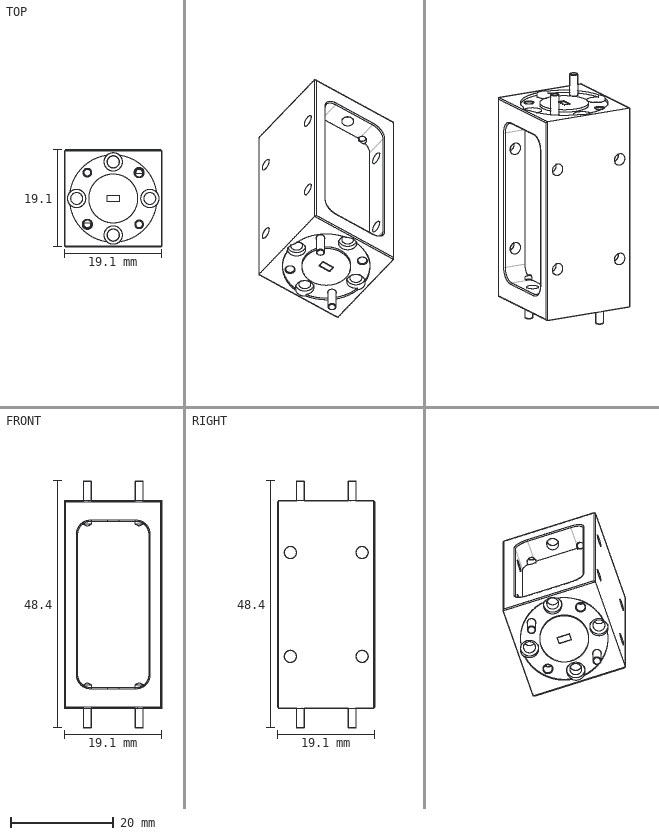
import cadquery as cq
import math

block_width = 19.05
block_height = 40.65
face_chamfer = 0.25
half_height = block_height / 2
half_width = block_width / 2

pocket_width = 13.95
pocket_height = 32.5
pocket_corner_radius = 2.5
web_thickness = 9.7
pocket_depth = (block_width - web_thickness) / 2

recess_radius = 8.55
recess_depth = 0.5
boss_radius = 4.8
window_width = 2.5
window_height = 1.25
window_depth = 0.2

bolt_circle_radius = 7.15
screw_diameter = 2.3
counterbore_radius = 1.8
counterbore_depth = 1.5
blind_screw_depth = 5.8
wall_screw_depth = 4.85

pin_diameter = 1.6
pin_protrusion = 3.85
pin_embedment = 3.85
pin_chamfer = 0.15
pin_mouth_chamfer = 0.05
alignment_diameter = 1.7
alignment_mouth_chamfer = 0.15
dowel_hole_depth = 4.6
drill_tip_half_angle = math.radians(59)
dowel_offset = bolt_circle_radius * math.sqrt(0.5)

cross_diameter = 2.3
cross_y = 7.0
cross_z = 10.15

top_pin_places = [(-dowel_offset, dowel_offset), (dowel_offset, -dowel_offset)]
top_alignment_places = [(dowel_offset, dowel_offset), (-dowel_offset, -dowel_offset)]
blind_screw_places = [(-bolt_circle_radius, 0), (bolt_circle_radius, 0)]
wall_screw_places = [(0, -bolt_circle_radius), (0, bolt_circle_radius)]


def turned_to_bottom(shape):
    """Copy of a top-end shape, turned half a turn about X."""
    return shape.rotate((0, 0, 0), (1, 0, 0), 180)


def cylinder_down(radius, top_z, depth):
    return cq.Workplane("XY").workplane(offset=top_z).circle(radius).extrude(-depth)


def drilled_hole(diameter, depth):
    """Hole from the top end face with a conical drill tip below its full depth."""
    radius = diameter / 2
    bottom = half_height - depth
    tip = bottom - radius / math.tan(drill_tip_half_angle)
    profile = (
        cq.Workplane("XZ")
        .moveTo(0, half_height)
        .lineTo(radius, half_height)
        .lineTo(radius, bottom)
        .lineTo(0, tip)
        .close()
    )
    return profile.revolve(360, (0, 0, 0), (0, 1, 0))


def dowel_hole(diameter, mouth_chamfer):
    """Drilled hole, chamfered where it opens at the recess floor."""
    mouth_z = half_height - recess_depth
    radius = diameter / 2
    mouth = (
        cq.Workplane("XZ")
        .moveTo(0, mouth_z)
        .lineTo(radius + mouth_chamfer, mouth_z)
        .lineTo(radius, mouth_z - mouth_chamfer)
        .lineTo(0, mouth_z - mouth_chamfer)
        .close()
        .revolve(360, (0, 0, 0), (0, 1, 0))
    )
    return drilled_hole(diameter, dowel_hole_depth).union(mouth)


def flange_cuts():
    """All material removed from the top flange face."""
    boss = cylinder_down(boss_radius, half_height, recess_depth)
    cuts = cylinder_down(recess_radius, half_height, recess_depth).cut(boss)
    window = (
        cq.Workplane("XY")
        .workplane(offset=half_height)
        .rect(window_width, window_height)
        .extrude(-window_depth)
    )
    cuts = cuts.union(window)

    counterbore = cylinder_down(counterbore_radius, half_height, counterbore_depth)
    blind_screw = drilled_hole(screw_diameter, blind_screw_depth).union(counterbore)
    wall_screw = cylinder_down(screw_diameter / 2, half_height, wall_screw_depth).union(counterbore)
    for hole, places in [
        (blind_screw, blind_screw_places),
        (wall_screw, wall_screw_places),
        (dowel_hole(pin_diameter, pin_mouth_chamfer), top_pin_places),
        (dowel_hole(alignment_diameter, alignment_mouth_chamfer), top_alignment_places),
    ]:
        for x, y in places:
            cuts = cuts.union(hole.translate((x, y, 0)))
    return cuts


def front_pocket():
    """Round-cornered pocket in the -Y face."""
    return (
        cq.Workplane("XZ")
        .workplane(offset=half_width)
        .rect(pocket_width, pocket_height)
        .extrude(-pocket_depth)
        .edges("|Y")
        .fillet(pocket_corner_radius)
    )


def cross_holes():
    places = [(y, z) for y in (-cross_y, cross_y) for z in (-cross_z, cross_z)]
    return (
        cq.Workplane("YZ")
        .pushPoints(places)
        .circle(cross_diameter / 2)
        .extrude(half_width, both=True)
    )


def make_block():
    pocket = front_pocket()
    block = (
        cq.Workplane("XY")
        .box(block_width, block_width, block_height)
        .cut(pocket)
        .cut(turned_to_bottom(pocket))
    )
    block = block.faces("<Y or >Y").chamfer(face_chamfer)
    flange = flange_cuts()
    for cut in (flange, turned_to_bottom(flange), cross_holes()):
        block = block.cut(cut)
    return block


def make_top_pin(x, y):
    return (
        cylinder_down(pin_diameter / 2, half_height + pin_protrusion, pin_protrusion + pin_embedment)
        .faces("<Z or >Z")
        .chamfer(pin_chamfer)
        .translate((x, y, 0))
    )


block = make_block()

pins = []
for x, y in top_pin_places:
    pin = make_top_pin(x, y)
    pins.append(pin.val())
    pins.append(turned_to_bottom(pin).val())

result = cq.Compound.makeCompound([block.val(), *pins])